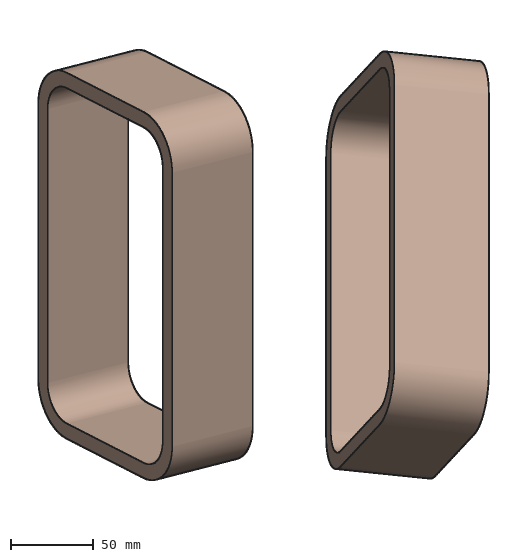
import cadquery as cq

width = 140.5
depth = 60.0
height = 238.0
wall = 10.0
outer_radius = 30.0
inner_radius = outer_radius - wall


def rounded_block(size_x, size_z, corner_radius):
    """Block centred on the origin with its four Y-direction edges rounded."""
    return cq.Workplane("XY").box(size_x, depth, size_z).edges("|Y").fillet(corner_radius)


outer_body = rounded_block(width, height, outer_radius)
opening = rounded_block(width - 2 * wall, height - 2 * wall, inner_radius)

result = outer_body.cut(opening)